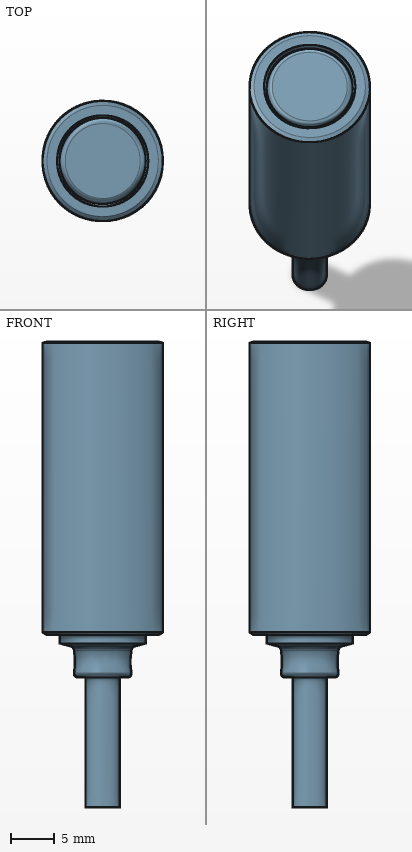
import cadquery as cq

total_height = 54.0
sleeve_radius = 14.0 / 2
sleeve_bottom = 20.0
edge_width = 0.55
top_edge_height = 0.15
bottom_edge_height = 0.3

core_radius = 10.0 / 2
bore_mouth_radius = 5.3
bore_mouth_depth = 0.4
core_edge_radius = 0.65

collar_bottom = 19.0
neck_radius = 3.85
neck_top = 18.7
boot_radius = 3.35
boot_top = 18.2
boot_waist = 0.1
boot_bottom = 15.05
boot_edge_radius = 0.5
cable_radius = 4.0 / 2


def make_sleeve():
    """Chamfered tube with a flared mouth at the top of its through bore."""
    return (
        cq.Workplane("XZ")
        .moveTo(core_radius, sleeve_bottom)
        .lineTo(sleeve_radius - edge_width, sleeve_bottom)
        .lineTo(sleeve_radius, sleeve_bottom + bottom_edge_height)
        .lineTo(sleeve_radius, total_height - top_edge_height)
        .lineTo(sleeve_radius - edge_width, total_height)
        .lineTo(bore_mouth_radius, total_height)
        .lineTo(core_radius, total_height - bore_mouth_depth)
        .close()
        .revolve(360, (0, 0, 0), (0, 1, 0))
    )


def make_sensor():
    """Core, collar, boot and cable turned as one stepped shaft."""
    boot_side_bottom = boot_bottom + boot_edge_radius
    boot_middle = (boot_top + boot_side_bottom) / 2
    return (
        cq.Workplane("XZ")
        .lineTo(cable_radius, 0)
        .lineTo(cable_radius, boot_bottom)
        .lineTo(boot_radius - boot_edge_radius, boot_bottom)
        .radiusArc((boot_radius, boot_side_bottom), -boot_edge_radius)
        .threePointArc((boot_radius - boot_waist, boot_middle), (boot_radius, boot_top))
        .radiusArc((neck_radius, neck_top), neck_top - boot_top)
        .lineTo(core_radius, collar_bottom)
        .lineTo(core_radius, total_height - core_edge_radius)
        .radiusArc((core_radius - core_edge_radius, total_height), -core_edge_radius)
        .lineTo(0, total_height)
        .close()
        .revolve(360, (0, 0, 0), (0, 1, 0))
    )


sleeve = make_sleeve()
sensor = make_sensor()
result = cq.Compound.makeCompound([sleeve.val(), sensor.val()])